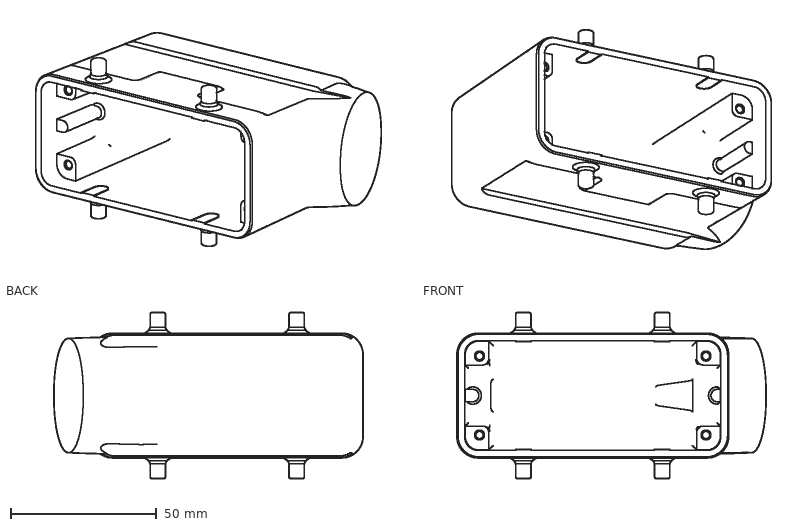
import cadquery as cq
import math

hood_length = 93.3
hood_width = 42.9
hood_height = 62.9
draft_angle = 0.9
corner_radius = 7.4
top_edge_radius = 3.7
rim_chamfer_side = 0.4
rim_chamfer_height = 0.7
overlap = 1.1

opening_length = 87.7
opening_width = 37.6
opening_radius = 4.6
post_face_y = 8.7
cavity_length = 71.6
cavity_depth = 60.2
cavity_edge_radius = 0.8
well_width = 21.2
well_depth = 28.6
well_edge_radius = 1.0
post_corner_radius = 2.1
screw_span_x = 77.7
screw_span_z = 27.1
screw_diameter = 2.5
screw_mouth_diameter = 3.4
screw_depth = 10.6
countersink_angle = 45.0
key_radius = 2.1
key_foot = 0.8
key_foot_angle = 45.0
left_key_x = -41.2
right_key_x = 42.7

rib_base_width = 10.4
rib_crest_width = 6.8
rib_height = 4.0
rib_ramp_length = 12.7
rib_end_x = 34.4
rib_crest_radius = 0.6
rib_root_radius = 0.8

pin_span_z = 57.0
pin_span_x = 47.6
pin_y = 6.2
pin_radius = 2.7
pin_tip_radius = 0.6
pin_neck_height = 2.1
collar_radius = 3.1
collar_height = 1.1
pin_foot_radius = 4.6
pad_thickness = 0.3
pad_center_y = 7.4

panel_bottom_y = 14.3
panel_top_y = 45.3
panel_depth = 1.2
panel_bevel = 1.5
tab_width = 28.4
tab_corner_radius = 1.0
tab_top_y = 27.7
panel_rise_x = 38.8
panel_rise_angle = 8.0

outlet_tilt = 15.5
outlet_end_x = 54.4
outlet_end_y = 51.9
outlet_length = 14.6
outlet_root_x = 12.9
outlet_root_size = 40.5
outlet_root_drop = 0.1
outlet_root_radius = 3.8
outlet_neck_height = 36.7
outlet_neck_width = 40.1
outlet_neck_radius = 10.6
outlet_end_height = 37.8
outlet_end_width = 39.3
outlet_end_radius = 18.7
outlet_fillet = 2.7


def half_width_at(y):
    """Half the drafted hood width at height y above the rim."""
    return hood_width / 2 - y * math.tan(math.radians(draft_angle))


def plane_at(y):
    """Plane facing +Y at height y, with local X along X."""
    return cq.Plane(origin=(0, y, 0), xDir=(1, 0, 0), normal=(0, 1, 0))


def edges_within(body, low_corner, high_corner):
    """Edges whose centres lie inside a box."""
    return body.edges(cq.selectors.BoxSelector(low_corner, high_corner))


def hood_body():
    """Solid block of the hood with drafted walls and rounded edges."""
    body = cq.Workplane(plane_at(0)).rect(hood_length, hood_width)
    body = body.extrude(hood_height, taper=draft_angle)
    body = body.edges("not(#Y)").fillet(corner_radius)
    body = body.faces(">Y").edges().fillet(top_edge_radius)
    return body.faces("<Y").chamfer(rim_chamfer_height, rim_chamfer_side)


def outlet_profile(center_x, center_y, tilt, height, width, radius):
    """Rounded outline of the outlet, standing square to its tilted axis."""
    angle = math.radians(tilt)
    plane = cq.Plane(
        origin=(center_x, center_y, 0),
        xDir=(-math.sin(angle), math.cos(angle), 0),
        normal=(math.cos(angle), math.sin(angle), 0),
    )
    outline = cq.Sketch().rect(height, width).vertices().fillet(radius)
    return outline._faces.Faces()[0].outerWire().moved(plane.location)


def outlet():
    """Rounded square inside the hood, swelling into a nearly round end."""
    angle = math.radians(outlet_tilt)
    neck_x = outlet_end_x - outlet_length * math.cos(angle)
    neck_y = outlet_end_y - outlet_length * math.sin(angle)
    root_y = hood_height - outlet_root_size / 2 - outlet_root_drop
    root = outlet_profile(
        outlet_root_x, root_y, 0, outlet_root_size, outlet_root_size, outlet_root_radius)
    neck = outlet_profile(
        neck_x, neck_y, outlet_tilt, outlet_neck_height, outlet_neck_width, outlet_neck_radius)
    end = outlet_profile(
        outlet_end_x, outlet_end_y, outlet_tilt, outlet_end_height, outlet_end_width, outlet_end_radius)
    return cq.Workplane(cq.Solid.makeLoft([root, neck, end]))


def panel_cut():
    """Bevelled recess in the +Z wall, its floor parallel to the wall."""
    far_x = hood_length
    half_tab = tab_width / 2
    rise = (far_x - panel_rise_x) * math.tan(math.radians(panel_rise_angle))
    angle = math.radians(draft_angle)
    wall = cq.Plane(
        origin=(0, 0, half_width_at(0)), xDir=(1, 0, 0), normal=(0, math.sin(angle), math.cos(angle)))
    outline = [
        (-far_x, panel_bottom_y), (-half_tab, panel_bottom_y),
        (-half_tab, tab_top_y), (half_tab, tab_top_y),
        (half_tab, panel_bottom_y), (far_x, panel_bottom_y),
        (far_x, panel_top_y + rise), (panel_rise_x, panel_top_y), (-far_x, panel_top_y),
    ]
    bevel_angle = math.degrees(math.atan(panel_bevel / panel_depth))
    tab_corners = cq.selectors.BoxSelector(
        (-half_tab - overlap, 0, -overlap), (half_tab + overlap, tab_top_y + overlap, overlap))
    floor = cq.Sketch().polygon(outline + outline[:1]).vertices(tab_corners).fillet(tab_corner_radius)
    recess = cq.Workplane(wall).workplane(offset=-panel_depth).placeSketch(floor)
    return recess.extrude(2 * panel_depth, taper=-bevel_angle)


def well_pocket():
    """Pocket between the screw posts, running from one end of the hood to the other."""
    return cq.Workplane(plane_at(0)).rect(opening_length, well_width).extrude(well_depth, taper=draft_angle)


def key(center_x):
    """Half-round guide key on an end wall, with a flared foot."""
    length = opening_length / 2 - abs(center_x)
    middle_x = center_x + math.copysign(length / 2, center_x)
    post = cq.Workplane(plane_at(post_face_y)).center(center_x, 0).circle(key_radius)
    post = post.extrude(well_depth)
    web = cq.Workplane(plane_at(post_face_y)).center(middle_x, 0).rect(length, 2 * key_radius)
    web = web.extrude(well_depth)
    foot = cq.Workplane(plane_at(well_depth)).center(center_x, 0).circle(key_radius + key_foot)
    foot = foot.extrude(-key_foot, taper=key_foot_angle)
    return post.union(web).union(foot)


def rib():
    """Rounded rib below the top wall, flaring into it and ending in a ramp."""
    half_base = rib_base_width / 2
    half_crest = rib_crest_width / 2
    crest_y = cavity_depth - rib_height
    lean = math.atan((half_base - half_crest) / rib_height)
    root_tangent = rib_root_radius * math.tan((math.pi / 2 - lean) / 2)
    root_y = cavity_depth - root_tangent * math.cos(lean)
    root_z = half_base - root_tangent * math.sin(lean)
    flare_z = half_base + root_tangent
    buried_y = cavity_depth + overlap
    start_x = -cavity_length / 2 - overlap
    bar = (
        cq.Workplane("YZ", origin=(start_x, 0, 0))
        .moveTo(buried_y, -flare_z)
        .lineTo(cavity_depth, -flare_z)
        .radiusArc((root_y, -root_z), -rib_root_radius)
        .lineTo(crest_y, -half_crest)
        .lineTo(crest_y, half_crest)
        .lineTo(root_y, root_z)
        .radiusArc((cavity_depth, flare_z), -rib_root_radius)
        .lineTo(buried_y, flare_z)
        .close()
        .extrude(rib_end_x - start_x)
    )
    bar = bar.faces("<Y").edges("|X").fillet(rib_crest_radius)
    ramp = (
        cq.Workplane("XY")
        .moveTo(rib_end_x - rib_ramp_length, crest_y)
        .lineTo(rib_end_x, cavity_depth).lineTo(rib_end_x, crest_y).close()
        .extrude(rib_base_width, both=True)
    )
    return bar.cut(ramp)


def cavity():
    """Everything hollow inside the hood, as one solid."""
    opening = cq.Workplane(plane_at(0)).rect(opening_length, opening_width)
    opening = opening.extrude(post_face_y, taper=draft_angle).edges("not(#Y)").fillet(opening_radius)
    main = cq.Workplane(plane_at(0)).rect(cavity_length, opening_width)
    main = main.extrude(cavity_depth, taper=draft_angle)
    main = main.faces(">Y").edges().fillet(cavity_edge_radius)
    hollow = main.union(well_pocket())
    post_corners = edges_within(
        hollow,
        (-cavity_length / 2, post_face_y, -well_width / 2),
        (cavity_length / 2, well_depth - overlap, well_width / 2))
    hollow = post_corners.fillet(post_corner_radius)
    well_floor = hollow.faces(
        cq.selectors.BoxSelector(
            (-opening_length / 2, well_depth - overlap / 10, -well_width),
            (opening_length / 2, well_depth + overlap / 10, well_width)))
    hollow = well_floor.edges().fillet(well_edge_radius)
    hollow = hollow.cut(key(left_key_x)).cut(key(right_key_x))
    return hollow.union(opening).cut(rib())


def screw_holes():
    """Countersunk blind holes in the four screw posts."""
    centers = (
        cq.Workplane(plane_at(post_face_y))
        .rect(screw_span_x, screw_span_z, forConstruction=True).vertices())
    holes = centers.circle(screw_diameter / 2).extrude(screw_depth)
    mouth_depth = (screw_mouth_diameter - screw_diameter) / 2 / math.tan(math.radians(countersink_angle))
    mouths = (
        cq.Workplane(plane_at(post_face_y))
        .rect(screw_span_x, screw_span_z, forConstruction=True).vertices()
        .circle(screw_mouth_diameter / 2).extrude(mouth_depth, taper=countersink_angle))
    return holes.union(mouths)


def pin():
    """Locking pin standing out of the +Z wall on a flared collar."""
    wall_z = half_width_at(pin_y)
    tip_z = pin_span_z / 2
    inner_z = wall_z - overlap
    return (
        cq.Workplane("XZ")
        .moveTo(0, inner_z)
        .lineTo(pin_foot_radius, inner_z)
        .lineTo(pin_foot_radius, wall_z)
        .lineTo(collar_radius, wall_z + collar_height)
        .lineTo(pin_radius, wall_z + pin_neck_height)
        .lineTo(pin_radius, tip_z - pin_tip_radius)
        .radiusArc((pin_radius - pin_tip_radius, tip_z), -pin_tip_radius)
        .lineTo(0, tip_z)
        .close()
        .revolve(360, (0, 0, 0), (0, 1, 0))
        .translate((0, pin_y, 0))
    )


def pad():
    """Thin round-ended pad on the inside of the +Z wall behind a pin."""
    inner_z = opening_width / 2
    block = cq.Workplane("XY", origin=(0, 0, inner_z - pad_thickness))
    tongue = block.center(0, pad_center_y / 2).rect(2 * pin_radius, pad_center_y)
    tongue = tongue.extrude(overlap)
    return tongue.union(block.center(0, pad_center_y).circle(pin_radius).extrude(overlap))


def on_both_sides(feature):
    """A feature of the +Z wall together with its twin on the -Z wall."""
    return feature.union(feature.mirror("XY"))


def outlet_underside(body):
    """Edges where the underside of the outlet leaves the end wall, between the panels."""
    wall_x = hood_length / 2
    axis_y = outlet_end_y - outlet_length * math.sin(math.radians(outlet_tilt))
    reach = outlet_neck_height / 2
    return edges_within(
        body,
        (wall_x - reach / 4, axis_y - 1.2 * reach, -outlet_end_width / 2),
        (wall_x + reach / 4, axis_y - reach / 2, outlet_end_width / 2))


result = hood_body().union(outlet())
result = result.cut(panel_cut()).cut(panel_cut().mirror("XY"))
result = outlet_underside(result).fillet(outlet_fillet)
result = result.cut(cavity()).cut(screw_holes())
for pin_x in (-pin_span_x / 2, pin_span_x / 2):
    result = result.union(on_both_sides(pin()).translate((pin_x, 0, 0)))
    result = result.union(on_both_sides(pad()).translate((pin_x, 0, 0)))